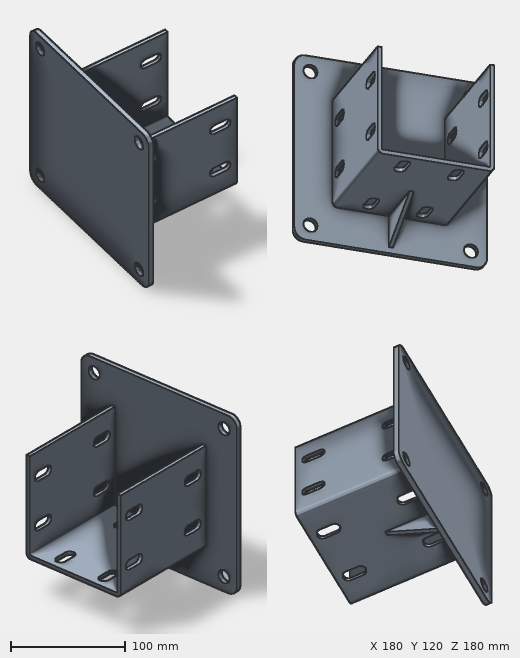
import cadquery as cq

plate_side = 180.0
plate_thickness = 5.0
plate_corner_radius = 10.0
bolt_hole_diameter = 13.0
bolt_hole_spacing = 150.0

total_depth = 120.0
channel_width = 109.0
channel_top = 50.0
channel_bottom = -54.0
sheet_thickness = 4.0
bend_outer_radius = 5.0
bend_inner_radius = bend_outer_radius - sheet_thickness
channel_length = total_depth - plate_thickness

slot_length = 22.1
slot_width = 10.0
slot_offset = 25.0
slot_depths = (23.0, 102.0)

gusset_thickness = sheet_thickness
gusset_reach = 58.3
gusset_foot = -84.2


def make_plate():
    plate = cq.Workplane("XZ").rect(plate_side, plate_side).extrude(-plate_thickness)
    plate = plate.edges("|Y").fillet(plate_corner_radius)
    holes = (
        cq.Workplane("XZ")
        .rect(bolt_hole_spacing, bolt_hole_spacing, forConstruction=True)
        .vertices()
        .circle(bolt_hole_diameter / 2)
        .extrude(-plate_thickness)
    )
    return plate.cut(holes)


def bent_block(width, bottom, bend_radius):
    """Block behind the plate with its two lower long edges rounded."""
    height = channel_top - bottom
    return (
        cq.Workplane("XY")
        .box(width, channel_length, height, centered=(True, False, False))
        .translate((0, plate_thickness, bottom))
        .edges("|Y and <Z")
        .fillet(bend_radius)
    )


def make_slots():
    slot_points = [(side * slot_offset, depth) for side in (-1, 1) for depth in slot_depths]
    web_slots = (
        cq.Workplane("XY", origin=(0, 0, channel_bottom))
        .pushPoints(slot_points)
        .slot2D(slot_length, slot_width, 90)
        .extrude(sheet_thickness)
    )
    wall_points = [(depth, height) for height, depth in slot_points]
    wall_slots = (
        cq.Workplane("YZ")
        .pushPoints(wall_points)
        .slot2D(slot_length, slot_width)
        .extrude(channel_width / 2, both=True)
    )
    return web_slots.union(wall_slots)


def make_channel():
    outside = bent_block(channel_width, channel_bottom, bend_outer_radius)
    inside = bent_block(
        channel_width - 2 * sheet_thickness,
        channel_bottom + sheet_thickness,
        bend_inner_radius,
    )
    return outside.cut(inside).cut(make_slots())


def make_gusset():
    return (
        cq.Workplane("YZ")
        .moveTo(plate_thickness, channel_bottom)
        .lineTo(gusset_reach, channel_bottom)
        .lineTo(plate_thickness, gusset_foot)
        .close()
        .extrude(gusset_thickness / 2, both=True)
    )


result = make_plate().union(make_channel()).union(make_gusset())